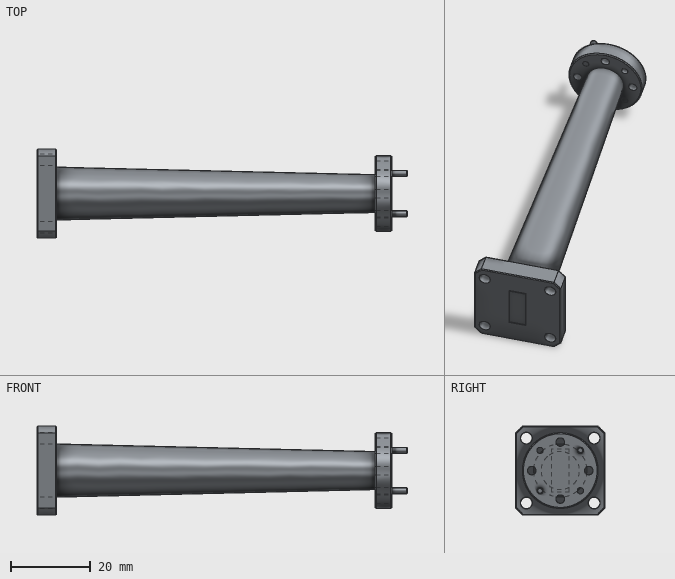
import cadquery as cq
import math


total_length = 92.8
pin_reach = 3.9
flange_thickness = 4.2
flange_end = total_length - pin_reach
flange_start = flange_end - flange_thickness

plate_side = 22.4
plate_thickness = 4.8
plate_corner_cut = 1.8
plate_edge_chamfer = 0.23
plate_hole_diameter = 2.9
plate_hole_spacing_y = 17.0
plate_hole_spacing_z = 16.2

recess_width = 4.3
recess_height = 10.9
recess_depth = 0.25

taper_start_diameter = 13.4
taper_end_diameter = 9.6

flange_diameter = 19.0
flange_edge_chamfer = 0.3
bolt_circle_radius = 7.1
flange_hole_diameter = 2.1
flange_hole_angles = (0, 90, 180, 270)

pin_diameter = 1.6
pin_tip_chamfer = 0.2
pin_angles = (45, 225)
dowel_hole_angles = (135, 315)


def plane_across(x):
    """Plane across the X axis with local x along Y, local y along Z and its normal along +X."""
    return cq.Workplane("YZ", origin=(x, 0, 0))


def bolt_circle_points(angles):
    """Y and Z positions on the bolt circle, with angles measured from +Y towards +Z."""
    return [
        (
            bolt_circle_radius * math.cos(math.radians(angle)),
            bolt_circle_radius * math.sin(math.radians(angle)),
        )
        for angle in angles
    ]


def make_plate():
    """Square plate with cut corners, chamfered rims, four screw holes and the recess."""
    plate = (
        plane_across(0)
        .rect(plate_side, plate_side)
        .extrude(plate_thickness)
        .edges("|X")
        .chamfer(plate_corner_cut)
        .faces("<X or >X")
        .edges()
        .chamfer(plate_edge_chamfer)
    )
    screw_holes = (
        plane_across(0)
        .rect(plate_hole_spacing_y, plate_hole_spacing_z, forConstruction=True)
        .vertices()
        .circle(plate_hole_diameter / 2)
        .extrude(plate_thickness)
    )
    recess = plane_across(0).rect(recess_width, recess_height).extrude(recess_depth)
    return plate.cut(screw_holes).cut(recess)


def make_tapered_tube():
    """Solid cone frustum running from the plate to the flange."""
    half_profile = [
        (plate_thickness, 0),
        (plate_thickness, taper_start_diameter / 2),
        (flange_start, taper_end_diameter / 2),
        (flange_start, 0),
    ]
    return cq.Workplane("XZ").polyline(half_profile).close().revolve(360, (0, 0), (1, 0))


def make_flange():
    """Round flange with chamfered rims, four screw holes and four dowel holes."""
    flange = (
        plane_across(flange_start)
        .circle(flange_diameter / 2)
        .extrude(flange_thickness)
        .edges()
        .chamfer(flange_edge_chamfer)
    )
    screw_holes = (
        plane_across(flange_start)
        .pushPoints(bolt_circle_points(flange_hole_angles))
        .circle(flange_hole_diameter / 2)
        .extrude(flange_thickness)
    )
    dowel_holes = (
        plane_across(flange_start)
        .pushPoints(bolt_circle_points(pin_angles + dowel_hole_angles))
        .circle(pin_diameter / 2)
        .extrude(flange_thickness)
    )
    return flange.cut(screw_holes).cut(dowel_holes)


def make_housing():
    """Plate, tapered tube and flange as one solid."""
    return make_plate().union(make_tapered_tube()).union(make_flange())


def make_pin(y, z):
    """Dowel pin flush with the flange's inner face and standing out beyond its outer face."""
    return (
        plane_across(flange_start)
        .center(y, z)
        .circle(pin_diameter / 2)
        .extrude(total_length - flange_start)
        .faces(">X")
        .edges()
        .chamfer(pin_tip_chamfer)
    )


housing = make_housing()
pins = [make_pin(y, z) for y, z in bolt_circle_points(pin_angles)]

result = cq.Compound.makeCompound([housing.val(), *[pin.val() for pin in pins]])